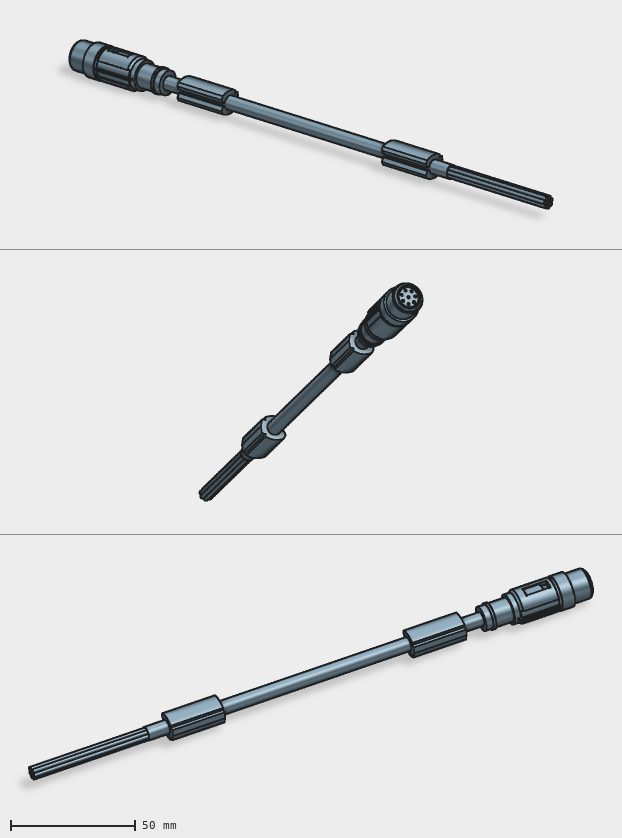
import cadquery as cq
import math

length = 247.3
nose_bevel = 0.7
nose_shoulder = 1.5
ring_start = 9.2
ring_end = 14.5
grip_start = 15.8
grip_taper_start = 31.7
collar_start = 33.0
grip_end = 34.1
collar_end = 35.4
rim_start = 43.3
rim_end = 44.5
sleeve_end = 47.5
jacket_end = 196.4

nose_face_radius = 5
nose_bevel_radius = 6.0
nose_radius = 6.5
ring_radius = 7.5
neck_radius = 7.0
grip_radius = 7.3
collar_radius = 6.5
sleeve_radius = 5.2
rim_radius = 5.7
cable_radius = 3.0

socket_radius = 4.7
socket_depth = 7.5
insert_radius = 4.2
insert_recess = 0.2
contact_circle_radius = 3.0
contact_hole_radius = 0.5
contact_hole_depth = 5

side_recess_radius = 6.7
side_recess_half_height = 3.5
rib_reach = 7.55
rib_thickness = 0.7
window_start = 17.5
window_length = 10.6
window_width = 4.0
window_floor = 6.5
notch_length = 3.0
notch_depth = 1.5

marker_starts = (56.6, 164.0)
marker_length = 23.2
marker_half_height = 5.07
shoulder_y = 3.7
shoulder_half_height = 4.2
back_edge_y = 5.2
back_half_height = 3.0
back_reach = 5.7
lip_y = -4.2
lip_half_height = 4.0
mouth_y = -5
mouth_half_height = 2.5
throat_y = -4.0
throat_root_y = -2.5
throat_half_gap = 0.7

outer_count = 7
wire_radius = 0.85
wire_circle_radius = 2.0
wire_embed = 1.2


def cylinder(start, span, radius, y=0, z=0):
    """Cylinder along X."""
    return cq.Workplane("YZ", origin=(start, y, z)).circle(radius).extrude(span)


def block(start, span, width, height, z=0):
    """Box from a start station, centred on Y = 0 and on the given Z."""
    return cq.Workplane("XY").box(span, width, height).translate((start + span / 2, 0, z))


def core_pattern(radius):
    """Centre point plus a circle of points, the first one straight down."""
    points = [(0, 0)]
    for i in range(outer_count):
        angle = -math.pi / 2 + i * 2 * math.pi / outer_count
        points.append((radius * math.cos(angle), radius * math.sin(angle)))
    return points


def turned_body():
    profile = [
        (0, 0),
        (0, nose_face_radius),
        (nose_bevel, nose_bevel_radius),
        (nose_shoulder, nose_radius),
        (ring_start, nose_radius),
        (ring_start, ring_radius),
        (ring_end, ring_radius),
        (ring_end, neck_radius),
        (grip_start, neck_radius),
        (grip_start, grip_radius),
        (grip_taper_start, grip_radius),
        (collar_start, collar_radius),
        (collar_end, collar_radius),
        (collar_end, sleeve_radius),
        (rim_start, sleeve_radius),
        (rim_start, rim_radius),
        (rim_end, rim_radius),
        (rim_end, sleeve_radius),
        (sleeve_end, sleeve_radius),
        (sleeve_end, cable_radius),
        (jacket_end, cable_radius),
        (jacket_end, 0),
    ]
    return cq.Workplane("XY").polyline(profile).close().revolve(360, (0, 0, 0), (1, 0, 0))


def socket_cut():
    """Ring-shaped gap around the contact insert, with a hole for each contact."""
    gap = cylinder(0, socket_depth, socket_radius)
    insert = cylinder(insert_recess, socket_depth, insert_radius)
    for y, z in core_pattern(contact_circle_radius):
        insert = insert.cut(cylinder(insert_recess, contact_hole_depth, contact_hole_radius, y, z))
    return gap.cut(insert)


def side_recesses():
    """Shallow bands removed from both sides of the grip."""
    span = grip_end - grip_start
    band = block(grip_start, span, 3 * ring_radius, 2 * side_recess_half_height)
    return band.cut(cylinder(grip_start, span, side_recess_radius))


def window_cut():
    """Flat window in the top of the grip with a deeper notch at its front end."""
    top = 2 * ring_radius
    window = block(window_start, window_length, window_width, top, window_floor + top / 2)
    notch = block(window_start, notch_length, window_width, top, window_floor - notch_depth + top / 2)
    return window.union(notch)


def marker(start):
    """Clip-on cable marker with a flared mouth toward -Y and a ridged back toward +Y."""
    upper_half = (
        cq.Workplane("YZ", origin=(start, 0, 0))
        .moveTo(throat_root_y, 0)
        .lineTo(throat_root_y, throat_half_gap)
        .lineTo(throat_y, throat_half_gap)
        .lineTo(mouth_y, mouth_half_height)
        .lineTo(lip_y, lip_half_height)
        .threePointArc((0, marker_half_height), (shoulder_y, shoulder_half_height))
        .lineTo(shoulder_y, back_half_height)
        .lineTo(back_edge_y, back_half_height)
        .lineTo(back_reach, 0)
        .close()
        .extrude(marker_length)
    )
    return upper_half.union(upper_half.mirror("XY"))


result = turned_body().cut(socket_cut()).cut(side_recesses()).cut(window_cut())
result = result.union(block(grip_start, grip_end - grip_start, 2 * rib_reach, rib_thickness))

for marker_start in marker_starts:
    result = result.union(marker(marker_start))

wire_start = jacket_end - wire_embed
for wire_y, wire_z in core_pattern(wire_circle_radius):
    result = result.union(cylinder(wire_start, length - wire_start, wire_radius, wire_y, wire_z))